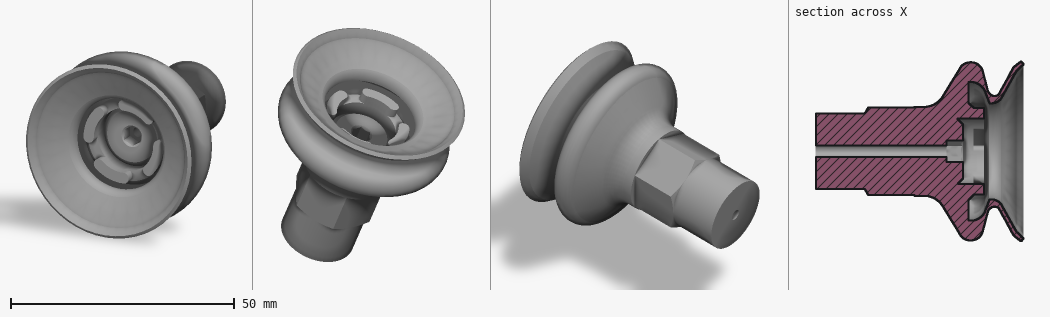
import cadquery as cq
import math


LENGTH = 46.5
HEX_START = 24.45
HEX_END = 35.53

SHANK_DIAMETER = 17.0
HEX_ACROSS_FLATS = 17.0
HEX_CORNER_DIAMETER = HEX_ACROSS_FLATS / math.cos(math.pi / 6)
HEX_CHAMFER_ANGLE = math.radians(30)

LIP_RADIUS = 20.2
LIP_TIP_Y = 0.6
RIM_RADIUS = 19.5
LIP_SHOULDER = (18.85, 2.32)
THROAT_START = (12.7, 5.65)
THROAT_MID = (12.5, 6.98)
THROAT_END = (13.6, 8.0)
BULGE_START = (17.65, 9.05)
BULGE_MID = (20.0, 11.75)
BULGE_END = (18.15, 14.55)
COLLAR_RADIUS = 10.0
COLLAR_START = 22.3
NECK_BLEND_START = (12.45, 18.05)
NECK_BLEND_MID = (10.5, 20.1)

LIP_BEVEL = (18.0, 1.6)
FUNNEL_END = (11.8, 5.0)
FUNNEL_BLEND_MID = (10.95, 6.15)
MOUTH_RADIUS = 10.7
MOUTH_END = 7.65
CHAMBER_WALL_START = (13.7, 8.85)
CHAMBER_WALL_MID = (15.05, 10.25)
CHAMBER_RADIUS = 15.45

CORE_FACE = 8.85
CORE_SHOULDER_RADIUS = 10.25
CORE_SHOULDER_Y = 11.65
CORE_BASE_RADIUS = 10.9
CORE_BASE_Y = 12.3
BORE_RADIUS = 14.5 / 2
HEAD_FACE = 13.55
HEAD_CHAMFER = 1.2

PAD_COUNT = 4
PAD_SPAN = 45.0
PAD_OUTER_RADIUS = 19.5 / 2
PAD_HEIGHT = 2.32

SOCKET_ACROSS_FLATS = 4.1
SOCKET_DEPTH = 3.7
COUNTERSINK_RADIUS = 2.5
COUNTERSINK_DEPTH = 0.45
AIR_HOLE_DIAMETER = 2.5


def plane_at(y):
    """Workplane across the axis at height y; local x is X, local y is Z, normal is -Y."""
    return cq.Workplane("XZ", origin=(0, y, 0))


def revolve(profile):
    """Spin a closed (radius, y) profile about the Y axis."""
    return profile.close().revolve(360, (0, 0, 0), (0, 1, 0))


def disc(radius, start, end):
    return plane_at(end).circle(radius).extrude(end - start)


def hexagon(across_flats, start, end):
    """Hexagonal bar with corners on +Z and -Z."""
    corner_diameter = across_flats / math.cos(math.pi / 6)
    bar = plane_at(end).polygon(6, corner_diameter).extrude(end - start)
    return bar.rotate((0, 0, 0), (0, 1, 0), 90)


def bellows_body():
    return revolve(
        cq.Workplane("XY")
        .moveTo(0, 0)
        .lineTo(RIM_RADIUS, 0)
        .lineTo(LIP_RADIUS, LIP_TIP_Y)
        .lineTo(*LIP_SHOULDER)
        .lineTo(*THROAT_START)
        .threePointArc(THROAT_MID, THROAT_END)
        .lineTo(*BULGE_START)
        .threePointArc(BULGE_MID, BULGE_END)
        .lineTo(*NECK_BLEND_START)
        .threePointArc(NECK_BLEND_MID, (COLLAR_RADIUS, COLLAR_START))
        .lineTo(COLLAR_RADIUS, HEX_START)
        .lineTo(0, HEX_START)
    )


def bellows_cavity():
    """Funnel, mouth and the chamber around the core."""
    return revolve(
        cq.Workplane("XY")
        .moveTo(0, 0)
        .lineTo(RIM_RADIUS, 0)
        .lineTo(*LIP_BEVEL)
        .lineTo(*FUNNEL_END)
        .threePointArc(FUNNEL_BLEND_MID, (MOUTH_RADIUS, MOUTH_END))
        .lineTo(*CHAMBER_WALL_START)
        .threePointArc(CHAMBER_WALL_MID, (CHAMBER_RADIUS, CORE_BASE_Y))
        .lineTo(CORE_BASE_RADIUS, CORE_BASE_Y)
        .lineTo(CORE_SHOULDER_RADIUS, CORE_SHOULDER_Y)
        .lineTo(PAD_OUTER_RADIUS, CORE_FACE + PAD_HEIGHT)
        .lineTo(PAD_OUTER_RADIUS, CORE_FACE)
        .lineTo(0, CORE_FACE)
    )


def core_bore():
    """Bore around a raised head whose edge is chamfered."""
    return revolve(
        cq.Workplane("XY")
        .moveTo(0, CORE_FACE)
        .lineTo(BORE_RADIUS, CORE_FACE)
        .lineTo(BORE_RADIUS, HEAD_FACE + HEAD_CHAMFER)
        .lineTo(BORE_RADIUS - HEAD_CHAMFER, HEAD_FACE)
        .lineTo(0, HEAD_FACE)
    )


def pads():
    """Curved pads with round ends, standing in the ring between bore and core face."""
    mid_radius = (BORE_RADIUS + PAD_OUTER_RADIUS) / 2
    end_radius = (PAD_OUTER_RADIUS - BORE_RADIUS) / 2
    base = CORE_FACE + PAD_HEIGHT

    def on_circle(radius, degrees):
        angle = math.radians(degrees)
        return (radius * math.cos(angle), radius * math.sin(angle))

    pad = (
        plane_at(base)
        .moveTo(*on_circle(BORE_RADIUS, 0))
        .threePointArc((mid_radius, end_radius), on_circle(PAD_OUTER_RADIUS, 0))
        .threePointArc(on_circle(PAD_OUTER_RADIUS, -PAD_SPAN / 2), on_circle(PAD_OUTER_RADIUS, -PAD_SPAN))
        .lineTo(*on_circle(BORE_RADIUS, -PAD_SPAN))
        .threePointArc(on_circle(BORE_RADIUS, -PAD_SPAN / 2), on_circle(BORE_RADIUS, 0))
        .close()
        .extrude(PAD_HEIGHT)
    )
    far_end = plane_at(base).center(*on_circle(mid_radius, -PAD_SPAN)).circle(end_radius).extrude(PAD_HEIGHT)
    pad = pad.union(far_end)
    ring = pad
    for index in range(1, PAD_COUNT):
        ring = ring.union(pad.rotate((0, 0, 0), (0, 1, 0), index * 360 / PAD_COUNT))
    return ring


def pad_notches():
    ring = disc(PAD_OUTER_RADIUS, CORE_FACE, CORE_FACE + PAD_HEIGHT)
    return ring.cut(disc(BORE_RADIUS, CORE_FACE, CORE_FACE + PAD_HEIGHT)).cut(pads())


def hex_nut():
    """Hexagon with its corners chamfered towards the shank."""
    corner_radius = HEX_CORNER_DIAMETER / 2
    flat_radius = HEX_ACROSS_FLATS / 2
    chamfer_drop = (corner_radius - flat_radius) * math.tan(HEX_CHAMFER_ANGLE)
    envelope = revolve(
        cq.Workplane("XY")
        .moveTo(0, HEX_START)
        .lineTo(corner_radius, HEX_START)
        .lineTo(corner_radius, HEX_END - chamfer_drop)
        .lineTo(flat_radius, HEX_END)
        .lineTo(0, HEX_END)
    )
    return hexagon(HEX_ACROSS_FLATS, HEX_START, HEX_END).intersect(envelope)


def socket():
    countersink = revolve(
        cq.Workplane("XY")
        .moveTo(0, HEAD_FACE)
        .lineTo(COUNTERSINK_RADIUS, HEAD_FACE)
        .lineTo(SOCKET_ACROSS_FLATS / 2, HEAD_FACE + COUNTERSINK_DEPTH)
        .lineTo(0, HEAD_FACE + COUNTERSINK_DEPTH)
    )
    return hexagon(SOCKET_ACROSS_FLATS, HEAD_FACE, HEAD_FACE + SOCKET_DEPTH).union(countersink)


outside = bellows_body().union(hex_nut()).union(disc(SHANK_DIAMETER / 2, HEX_END, LENGTH))
result = (
    outside.cut(bellows_cavity())
    .cut(core_bore())
    .cut(pad_notches())
    .cut(socket())
    .cut(disc(AIR_HOLE_DIAMETER / 2, 0, LENGTH))
)